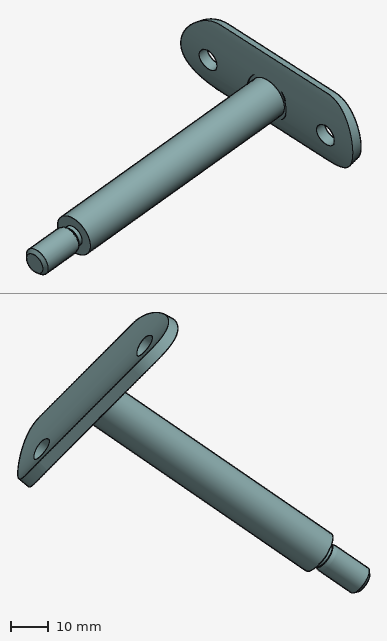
import cadquery as cq
import math


plate_length = 63.0
plate_height = 24.0
plate_thickness = 3.2
plate_outer_radius = 26.3
plate_inner_radius = plate_outer_radius - plate_thickness
end_length = plate_height / 2
straight_half = plate_length / 2 - end_length
half_angle = math.asin(plate_height / 2 / plate_outer_radius)
plate_depth = plate_outer_radius - plate_inner_radius * math.cos(half_angle)
end_steps = 12
screw_hole_diameter = 6.5
screw_hole_spacing = 43.0
spotface_diameter = 14.1
spotface_depth = 0.5

overall_depth = 95.5
rod_diameter = 12.0
stud_length = 15.2
stud_tip_y = plate_depth - overall_depth
rod_end_y = stud_tip_y + stud_length
rod_length = spotface_depth - rod_end_y

stud_diameter = 8.0
neck_diameter = 6.0
neck_length = 1.2
flare_diameter = 6.5
flare_end = 1.9
shoulder_diameter = 7.3
shoulder_end = 3.2
tip_diameter = 6.0
tip_chamfer = (stud_diameter - tip_diameter) / 2


def y_cylinder(diameter, start_y, length, x=0.0):
    """Cylinder parallel to Y, reaching from start_y toward -Y."""
    return cq.Workplane("XZ", origin=(x, start_y, 0)).circle(diameter / 2).extrude(length)


def plate_section(distance):
    """Wire of the radial edge wall on the plane at this distance in front of the bend axis."""
    corner_z = distance * math.tan(half_angle)

    def end_point(side, t):
        x = side * (straight_half + end_length * math.cos(t))
        return (x, distance * math.tan(half_angle * math.sin(t)))

    turns = [math.pi * (i / end_steps - 0.5) for i in range(1, end_steps + 1)]
    right_end = [end_point(1, t) for t in turns]
    left_end = [end_point(-1, -t) for t in turns]
    return (
        cq.Workplane("XZ", origin=(0, plate_outer_radius - distance, 0))
        .moveTo(-straight_half, -corner_z)
        .lineTo(straight_half, -corner_z)
        .spline(right_end, includeCurrent=True)
        .lineTo(-straight_half, corner_z)
        .spline(left_end, includeCurrent=True)
        .wire()
        .val()
    )


def make_plate():
    """Bent plate with rounded ends, edge walls square to its faces, holes and a spotface."""
    sheet = (
        cq.Workplane("YZ", origin=(-plate_length / 2, plate_outer_radius, 0))
        .circle(plate_outer_radius)
        .circle(plate_inner_radius)
        .extrude(plate_length)
    )
    near_distance = plate_inner_radius - plate_depth
    far_distance = plate_outer_radius + plate_depth
    outline = cq.Solid.makeLoft([plate_section(near_distance), plate_section(far_distance)], True)
    plate = sheet.intersect(cq.Workplane(outline))
    for side in (-1, 1):
        hole_x = side * screw_hole_spacing / 2
        plate = plate.cut(y_cylinder(screw_hole_diameter, plate_depth, 2 * plate_depth, hole_x))
    return plate.cut(y_cylinder(spotface_diameter, spotface_depth, plate_depth))


def make_rod():
    """Plain round rod standing on the spotface."""
    return y_cylinder(rod_diameter, spotface_depth, rod_length)


def make_stud():
    """Stud with a relief neck, a stepped and rounded shoulder and a chamfered tip."""
    stud_radius = stud_diameter / 2
    shoulder_start_radius = shoulder_diameter / 2
    rise = stud_radius - shoulder_start_radius
    run = shoulder_end - flare_end
    arc_radius = (rise ** 2 + run ** 2) / (2 * rise)
    half_sweep = math.asin(run / arc_radius) / 2
    shoulder_middle = (
        stud_radius - arc_radius * (1 - math.cos(half_sweep)),
        rod_end_y - shoulder_end + arc_radius * math.sin(half_sweep),
    )
    return (
        cq.Workplane("XY")
        .moveTo(0, rod_end_y)
        .lineTo(neck_diameter / 2, rod_end_y)
        .lineTo(neck_diameter / 2, rod_end_y - neck_length)
        .lineTo(flare_diameter / 2, rod_end_y - flare_end)
        .lineTo(shoulder_start_radius, rod_end_y - flare_end)
        .threePointArc(shoulder_middle, (stud_radius, rod_end_y - shoulder_end))
        .lineTo(stud_radius, stud_tip_y + tip_chamfer)
        .lineTo(tip_diameter / 2, stud_tip_y)
        .lineTo(0, stud_tip_y)
        .close()
        .revolve(360, (0, 0, 0), (0, 1, 0))
    )


plate = make_plate()
rod = make_rod()
stud = make_stud()

result = cq.Compound.makeCompound([plate.val(), rod.val(), stud.val()])